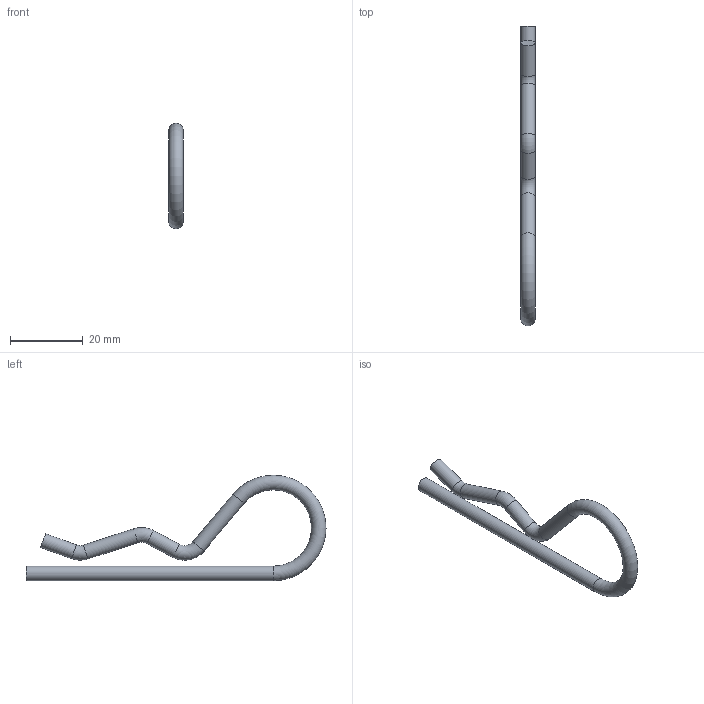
import cadquery as cq
import math

WIRE_DIAMETER = 4.0
LOOP_RADIUS = 12.5
BEND_RADIUS = 5.0
STRAIGHT_LEG_LENGTH = 68.0

SPRUNG_LEG_RUNS = [
    (-50.0, 17.1),
    (28.0, 8.1),
    (-18.0, 14.5),
    (20.0, 9.0),
]


def run_end(start, slope, length):
    """End point of a straight run leaving start at the given slope."""
    angle = math.radians(slope)
    return (start[0] + length * math.cos(angle), start[1] + length * math.sin(angle))


def bend_point(start, slope, new_slope):
    """Point reached from start, along a tangent bend, where the slope becomes new_slope."""
    side = math.copysign(BEND_RADIUS, new_slope - slope)
    angle = math.radians(slope)
    new_angle = math.radians(new_slope)
    return (
        start[0] + side * (math.sin(new_angle) - math.sin(angle)),
        start[1] + side * (math.cos(angle) - math.cos(new_angle)),
    )


def wire_axis():
    """Axis of the wire from the end of the straight leg to the flared tip."""
    slope, length = SPRUNG_LEG_RUNS[0]
    loop_exit = (
        -LOOP_RADIUS * math.sin(math.radians(slope)),
        LOOP_RADIUS * (1 + math.cos(math.radians(slope))),
    )
    path = (
        cq.Workplane("YZ")
        .moveTo(STRAIGHT_LEG_LENGTH, 0)
        .lineTo(0, 0)
        .threePointArc((-LOOP_RADIUS, LOOP_RADIUS), loop_exit)
    )
    point = run_end(loop_exit, slope, length)
    path = path.lineTo(*point)
    for new_slope, length in SPRUNG_LEG_RUNS[1:]:
        bend_middle = bend_point(point, slope, (slope + new_slope) / 2)
        bend_end = bend_point(point, slope, new_slope)
        point = run_end(bend_end, new_slope, length)
        path = path.threePointArc(bend_middle, bend_end).lineTo(*point)
        slope = new_slope
    return path


def bent_wire():
    """Round section swept along the wire axis, starting at the end of the straight leg."""
    section = cq.Workplane("XZ", origin=(0, STRAIGHT_LEG_LENGTH, 0)).circle(WIRE_DIAMETER / 2)
    return section.sweep(wire_axis())


result = bent_wire()